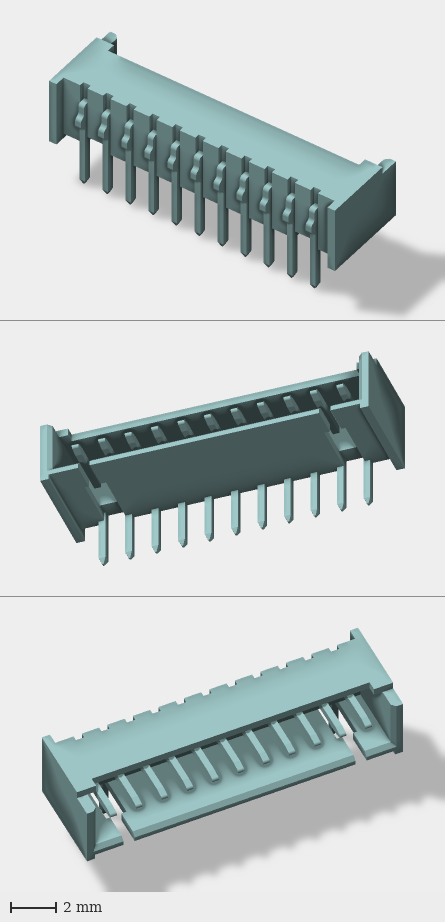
import cadquery as cq
import math


pin_count = 11
pin_pitch = 1.25
pin_width = 0.31
leg_depth = 0.38
leg_tip_z = -2.1
leg_tip_height = 0.26
leg_tip_taper = 25

end_margin = 1.5
housing_length = (pin_count - 1) * pin_pitch + 2 * end_margin
housing_depth = 4.7
housing_height = 3.5
body_bottom_z = 0.25
body_front_y = 0.55
end_plate_thickness = 0.4

top_wall_thickness = 0.38
floor_thickness = 0.43
side_wall_thickness = 0.52
rear_wall_depth = 0.8
mouth_chamfer = 0.2
cavity_rear_y = body_front_y + rear_wall_depth
cavity_floor_z = body_bottom_z + floor_thickness
cavity_roof_z = housing_height - top_wall_thickness
cavity_length = housing_length - 2 * side_wall_thickness

top_corner_setback = 1.04
top_middle_setback = 1.5
top_corner_length = 0.94

slot_width = 0.4
slot_floor_y = 0.8

gap_start = 1.79
gap_width = 0.55
gap_end_y = housing_depth - 1.4
wide_gap_start = 1.6
wide_gap_width = 1.0

leg_front_y = slot_floor_y - leg_depth
contact_height = leg_depth
contact_middle_z = (cavity_floor_z + cavity_roof_z) / 2
contact_top_z = contact_middle_z + contact_height / 2
contact_bottom_z = contact_middle_z - contact_height / 2
crimp_top_z = housing_height - 0.9
bend_radius = 0.18
upper_face_y = 0.34
upper_face_end_z = housing_height - 1.4
bulge_face_y = 0.1
bulge_face_start_z = housing_height - 1.74
bulge_face_end_z = housing_height - 1.98
bulge_end_z = housing_height - 2.38
contact_end_y = housing_depth - 0.4
contact_slope_start_y = housing_depth - 0.88
contact_nose_radius = 0.11
contact_slope_end_y = contact_end_y - contact_nose_radius


def box(x, y, z):
    """Box from (start, end) pairs along each axis."""
    size = (x[1] - x[0], y[1] - y[0], z[1] - z[0])
    return cq.Workplane("XY").box(*size, centered=False).translate((x[0], y[0], z[0]))


def centred_box(length, y, z):
    """Box centred on X = 0."""
    return box((-length / 2, length / 2), y, z)


def mirrored_pair(solid):
    """The solid together with its mirror image about the middle of the row."""
    return solid.union(solid.mirror("YZ"))


def pin_positions():
    return [(i - (pin_count - 1) / 2) * pin_pitch for i in range(pin_count)]


def make_shell():
    half_length = housing_length / 2
    body = centred_box(housing_length, (body_front_y, housing_depth), (body_bottom_z, housing_height))
    end_plate = box(
        (-half_length, -half_length + end_plate_thickness), (0, housing_depth), (0, housing_height)
    )
    return body.union(mirrored_pair(end_plate))


def top_setback():
    z = (cavity_roof_z, housing_height)
    corners = centred_box(housing_length, (housing_depth - top_corner_setback, housing_depth), z)
    middle_length = housing_length - 2 * top_corner_length
    middle = centred_box(middle_length, (housing_depth - top_middle_setback, housing_depth), z)
    return corners.union(middle)


def cavity():
    return centred_box(cavity_length, (cavity_rear_y, housing_depth), (cavity_floor_z, cavity_roof_z))


def mouth_flare():
    """Mitred lead-in chamfer on the floor and sides of the cavity mouth."""
    height = cavity_roof_z - cavity_floor_z
    return (
        cq.Workplane("XZ", origin=(0, housing_depth - mouth_chamfer, cavity_roof_z))
        .rect(cavity_length, 2 * height)
        .workplane(offset=-mouth_chamfer)
        .rect(cavity_length + 2 * mouth_chamfer, 2 * (height + mouth_chamfer))
        .loft(ruled=True)
    )


def keying_gaps():
    left = -housing_length / 2
    z = (body_bottom_z, cavity_floor_z)
    narrow = box((left + gap_start, left + gap_start + gap_width), (gap_end_y, housing_depth), z)
    wide_x = (left + wide_gap_start, left + wide_gap_start + wide_gap_width)
    wide = box(wide_x, (body_front_y, gap_end_y), z)
    return mirrored_pair(narrow.union(wide))


def pin_slot(x):
    slot = centred_box(slot_width, (body_front_y, slot_floor_y), (body_bottom_z, housing_height))
    return slot.translate((x, 0, 0))


def make_pin():
    leg_end_z = leg_tip_z + leg_tip_height
    bend_offset = bend_radius * (1 - math.sqrt(0.5))
    bend_middle = (upper_face_y + bend_offset, crimp_top_z - bend_offset)
    shoulder_middle = ((upper_face_y + bulge_face_y) / 2, (upper_face_end_z + bulge_face_start_z) / 2)
    underside_middle = ((bulge_face_y + leg_front_y) / 2, (bulge_face_end_z + bulge_end_z) / 2)
    shank = (
        cq.Workplane("YZ")
        .moveTo(slot_floor_y, leg_end_z)
        .lineTo(slot_floor_y, contact_bottom_z)
        .lineTo(contact_slope_start_y, contact_bottom_z)
        .lineTo(contact_slope_end_y, contact_middle_z - contact_nose_radius)
        .threePointArc(
            (contact_end_y, contact_middle_z),
            (contact_slope_end_y, contact_middle_z + contact_nose_radius),
        )
        .lineTo(contact_slope_start_y, contact_top_z)
        .lineTo(slot_floor_y, contact_top_z)
        .lineTo(slot_floor_y, crimp_top_z)
        .lineTo(upper_face_y + bend_radius, crimp_top_z)
        .threePointArc(bend_middle, (upper_face_y, crimp_top_z - bend_radius))
        .lineTo(upper_face_y, upper_face_end_z)
        .tangentArcPoint(shoulder_middle, relative=False)
        .tangentArcPoint((bulge_face_y, bulge_face_start_z), relative=False)
        .lineTo(bulge_face_y, bulge_face_end_z)
        .tangentArcPoint(underside_middle, relative=False)
        .tangentArcPoint((leg_front_y, bulge_end_z), relative=False)
        .lineTo(leg_front_y, leg_end_z)
        .close()
        .extrude(pin_width / 2, both=True)
    )
    tip = (
        cq.Workplane("XY", origin=(0, leg_front_y + leg_depth / 2, leg_end_z))
        .rect(pin_width, leg_depth)
        .extrude(-leg_tip_height, taper=leg_tip_taper)
    )
    return shank.union(tip)


housing = make_shell().cut(top_setback()).cut(cavity()).cut(mouth_flare()).cut(keying_gaps())
for pin_x in pin_positions():
    housing = housing.cut(pin_slot(pin_x))

result = housing
pin = make_pin()
for pin_x in pin_positions():
    result = result.union(pin.translate((pin_x, 0, 0)))